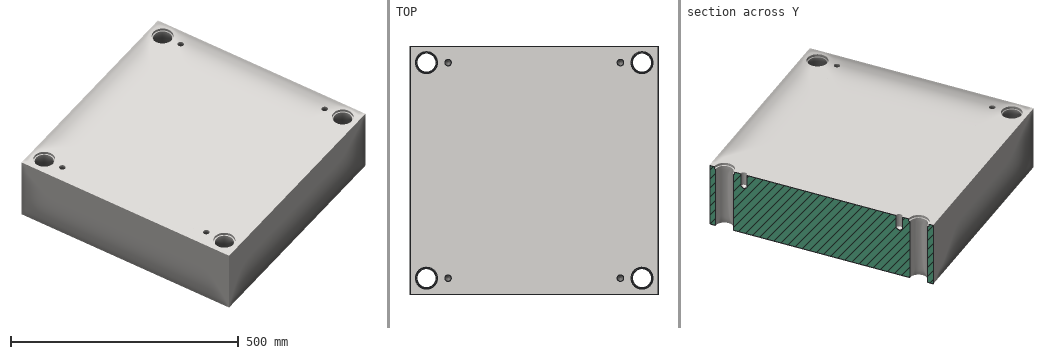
import cadquery as cq
import math

side = 545.5
height = 156.0

corner_hole_diameter = 42.0
counterbore_diameter = 48.0
counterbore_depth = 6.0
corner_hole_edge_distance = 36.0

drill_diameter = 14.0
drill_depth = 33.0
drill_point_angle = 118.0
drill_spacing = 47.5

corner_offset = side / 2 - corner_hole_edge_distance
drill_offset = corner_offset - drill_spacing


def revolved_cutter(profile):
    """Revolve (radius, z) points, closed along the axis, around Z."""
    return cq.Workplane("XZ").polyline(profile).close().revolve(360, (0, 0, 0), (0, 1, 0))


def corner_hole_cutter():
    radius = corner_hole_diameter / 2
    counterbore_radius = counterbore_diameter / 2
    ledge = height - counterbore_depth
    return revolved_cutter([
        (0, 0),
        (radius, 0),
        (radius, ledge),
        (counterbore_radius, ledge),
        (counterbore_radius, height),
        (0, height),
    ])


def drilled_hole_cutter():
    radius = drill_diameter / 2
    point_length = radius / math.tan(math.radians(drill_point_angle / 2))
    floor = height - drill_depth
    return revolved_cutter([
        (0, floor - point_length),
        (radius, floor),
        (radius, height),
        (0, height),
    ])


result = cq.Workplane("XY").box(side, side, height, centered=(True, True, False))

for x_sign in (-1, 1):
    for y_sign in (-1, 1):
        y = y_sign * corner_offset
        result = result.cut(corner_hole_cutter().translate((x_sign * corner_offset, y, 0)))
        result = result.cut(drilled_hole_cutter().translate((x_sign * drill_offset, y, 0)))